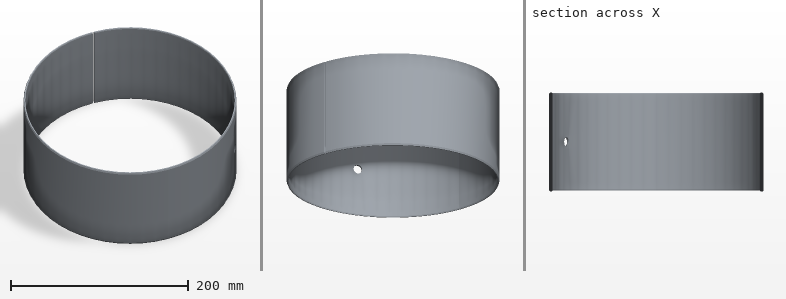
import cadquery as cq

outer_diameter = 240
height = 110.0
wall = 2.5
outer_chamfer_height = 2.0
outer_chamfer_depth = 0.82
inner_chamfer_height = 1.2
inner_chamfer_depth = 0.5
slit_width = 2.0
hole_diameter = 10.0
hole_angle = 59

outer_radius = outer_diameter / 2
inner_radius = outer_radius - wall
outer_rim_radius = outer_radius - outer_chamfer_depth
inner_rim_radius = inner_radius + inner_chamfer_depth
half_height = height / 2
outer_chamfer_start = half_height - outer_chamfer_height
inner_chamfer_start = half_height - inner_chamfer_height


def make_band():
    """Thin ring centred on the origin, chamfered inside and outside at both rims."""
    profile = [
        (inner_rim_radius, -half_height),
        (outer_rim_radius, -half_height),
        (outer_radius, -outer_chamfer_start),
        (outer_radius, outer_chamfer_start),
        (outer_rim_radius, half_height),
        (inner_rim_radius, half_height),
        (inner_radius, inner_chamfer_start),
        (inner_radius, -inner_chamfer_start),
    ]
    return cq.Workplane("XZ").polyline(profile).close().revolve(360, (0, 0), (0, 1))


def make_slit():
    """Full-height cut through the -X wall, with one face on the XZ plane."""
    return cq.Workplane("XY").box(
        outer_radius, slit_width, height, centered=(True, False, True)
    ).translate((-outer_radius, 0, 0))


def make_hole():
    """Radial hole through one side of the wall at mid height."""
    hole = cq.Workplane("YZ").circle(hole_diameter / 2).extrude(outer_diameter)
    return hole.rotate((0, 0, 0), (0, 0, 1), hole_angle)


result = make_band().cut(make_slit()).cut(make_hole())